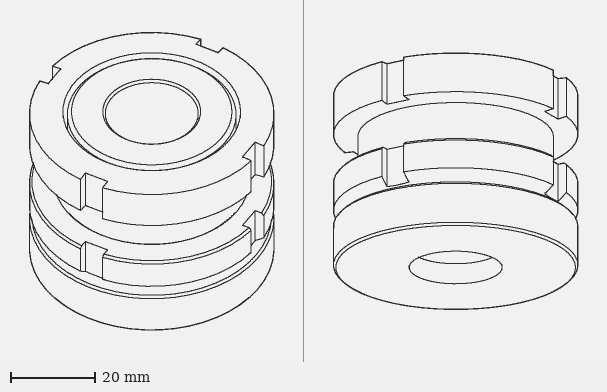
import cadquery as cq
import math

total_height = 44.0
base_height = 11.0
flange_rim_bottom = 14.4
flange_top = 22.0
nut_head_bottom = 33.05

outer_radius = 29.0
collar_radius = 23.2
nut_bore_radius = 21.05
stem_radius = 20.0
bore_radius = 11.0
ball_radius = 44.65

edge_chamfer = 0.6
stem_chamfer = 1.0
nut_face_drop = 0.6

notch_count = 4
notch_width = 6.05
notch_floor_radius = 26.5

ball_centre_z = flange_rim_bottom + math.sqrt(ball_radius**2 - outer_radius**2)


def ball_z(radius):
    """Height of the lower ball surface at a given distance from the axis."""
    return ball_centre_z - math.sqrt(ball_radius**2 - radius**2)


dish_radius = math.sqrt(ball_radius**2 - (ball_centre_z - base_height) ** 2)


def ball_point(radius):
    return (radius, ball_z(radius))


def revolve_about_z(profile):
    return profile.close().revolve(360, (0, 0, 0), (0, 1, 0))


def cut_notches(body):
    """Cut evenly spaced wrench notches through the full height of the rim."""
    cutter_length = 2 * (outer_radius - notch_floor_radius)
    notch = cq.Workplane("XY").box(
        cutter_length, notch_width, total_height, centered=(False, True, False)
    ).translate((notch_floor_radius, 0, 0))
    for index in range(notch_count):
        body = body.cut(notch.rotate((0, 0, 0), (0, 0, 1), index * 360 / notch_count))
    return body


def make_base():
    """Chamfered ring with a spherical seat in its top."""
    seat_middle = (bore_radius + dish_radius) / 2
    return revolve_about_z(
        cq.Workplane("XZ")
        .moveTo(bore_radius, 0)
        .lineTo(outer_radius - edge_chamfer, 0)
        .lineTo(outer_radius, edge_chamfer)
        .lineTo(outer_radius, base_height - edge_chamfer)
        .lineTo(outer_radius - edge_chamfer, base_height)
        .lineTo(dish_radius, base_height)
        .threePointArc(ball_point(seat_middle), ball_point(bore_radius))
    )


def make_spindle():
    """Hollow stem on a notched flange whose underside is spherical."""
    ball_middle = (bore_radius + outer_radius) / 2
    spindle = revolve_about_z(
        cq.Workplane("XZ")
        .moveTo(*ball_point(bore_radius))
        .threePointArc(ball_point(ball_middle), ball_point(outer_radius))
        .lineTo(outer_radius, flange_top - edge_chamfer)
        .lineTo(outer_radius - edge_chamfer, flange_top)
        .lineTo(stem_radius, flange_top)
        .lineTo(stem_radius, total_height - stem_chamfer)
        .lineTo(stem_radius - stem_chamfer, total_height)
        .lineTo(bore_radius + edge_chamfer, total_height)
        .lineTo(bore_radius, total_height - edge_chamfer)
    )
    return cut_notches(spindle)


def make_nut():
    """Notched nut with slightly conical faces and a collar resting on the flange."""
    nut = revolve_about_z(
        cq.Workplane("XZ")
        .moveTo(nut_bore_radius, flange_top)
        .lineTo(collar_radius - edge_chamfer, flange_top)
        .lineTo(collar_radius, flange_top + edge_chamfer)
        .lineTo(collar_radius, nut_head_bottom)
        .lineTo(outer_radius, nut_head_bottom + nut_face_drop)
        .lineTo(outer_radius, total_height - nut_face_drop)
        .lineTo(collar_radius, total_height)
        .lineTo(nut_bore_radius, total_height)
    )
    return cut_notches(nut)


base = make_base()
spindle = make_spindle()
nut = make_nut()

result = cq.Compound.makeCompound([base.val(), *spindle.solids().vals(), *nut.solids().vals()])